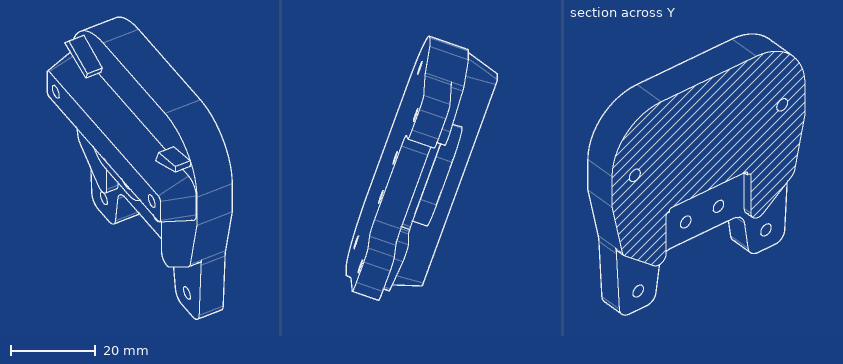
import cadquery as cq
import math


BASE_DEPTH = 6.6
PLATE_DEPTH = 9.7
RAISED_DEPTH = 13.8
TOTAL_DEPTH = 18.0

PLATE_WIDTH = 59.04
PLATE_HEIGHT = 59.8
HALF_WIDTH = PLATE_WIDTH / 2
TOP_RADIUS = 15.0
TAPER_START_Z = 35.9
WAIST_X = 26.2
WAIST_Z = 20.3
WAIST_BLEND_RADIUS = 12.0

FOOT_OUTER_X = 25.1
FOOT_INNER_X = 14.4
FOOT_RADIUS = 3.0
GAP_HALF_WIDTH = 12.55
GAP_TOP_Z = 13.4
GAP_RADIUS = 3.5

RECESS_HALF_WIDTH = 12.85
RECESS_TOP_Z = 27.35
RECESS_NOTCH = 1.0
RECESS_RADIUS = 0.5
FLAP_ANGLE = 38.0
FLAP_TIP_RADIUS = 2.4
FLAP_SHOULDER_RADIUS = 2.4

BAR_LENGTH = 53.2
BAR_HEIGHT = 8.0
BAR_Z = 41.95
BAR_CORNER_RADIUS = 1.0
BAR_FLARE = 2.55

BOSS_X = -1.0
BOSS_WIDTH = 25.0
BOSS_BOTTOM_Z = 28.2
BOSS_RADIUS = 7.0
SOCKET_SPACING = 9.0
SOCKET_Z = 33.2
SMALL_SOCKET_DIAMETER = 5.39
LARGE_SOCKET_DIAMETER = 6.5

LEFT_TAB = [(-25.6, 53.2), (-23.6, 55.3), (-14.9, 51.6), (-15.6, 49.7)]
RIGHT_TAB = [(18.6, 52.4), (26.4, 53.95), (26.4, 52.2), (17.1, 48.65)]

SCREW_DIAMETER = 3.2
BAR_SCREW = (22.5, BAR_Z)
RECESS_SCREW = (5.0, 19.0)
FOOT_SCREW = (19.5, 5.5)


def along(start, end, distance):
    """Point at a distance from start on the way to end."""
    share = distance / math.dist(start, end)
    return (start[0] + share * (end[0] - start[0]), start[1] + share * (end[1] - start[1]))


def rounded_corner(before, corner, after, radius):
    """Start, middle and end of the arc that rounds a corner."""
    to_before = math.atan2(before[1] - corner[1], before[0] - corner[0])
    to_after = math.atan2(after[1] - corner[1], after[0] - corner[0])
    half_angle = math.acos(math.cos(to_before - to_after)) / 2
    tangent_length = radius / math.tan(half_angle)
    start = along(corner, before, tangent_length)
    end = along(corner, after, tangent_length)
    chord_middle = ((start[0] + end[0]) / 2, (start[1] + end[1]) / 2)
    middle = along(corner, chord_middle, radius / math.sin(half_angle) - radius)
    return start, middle, end


def prism(corners, back, front):
    """Solid between two depths; corners are (x, z, radius), radius 0 being sharp."""
    points = [(x, z) for x, z, radius in corners]
    sketch = cq.Workplane("XZ", origin=(0, -back, 0))
    for index, (x, z, radius) in enumerate(corners):
        start = middle = end = (x, z)
        if radius > 0:
            following = points[(index + 1) % len(points)]
            start, middle, end = rounded_corner(points[index - 1], (x, z), following, radius)
        sketch = sketch.moveTo(*start) if index == 0 else sketch.lineTo(*start)
        if radius > 0:
            sketch = sketch.threePointArc(middle, end)
    return sketch.close().extrude(front - back)


def mirrored(half):
    """Full outline from its +X half."""
    return half + [(-x, z, radius) for x, z, radius in reversed(half)]


def upper_outline():
    """+X half of the outline above the waist, shared by both plate layers."""
    return [(HALF_WIDTH, PLATE_HEIGHT, TOP_RADIUS), (HALF_WIDTH, TAPER_START_Z, 0)]


def base_layer():
    half = upper_outline() + [
        (WAIST_X, WAIST_Z, WAIST_BLEND_RADIUS),
        (FOOT_OUTER_X, 0, FOOT_RADIUS),
        (FOOT_INNER_X, 0, FOOT_RADIUS),
        (GAP_HALF_WIDTH, GAP_TOP_Z, GAP_RADIUS),
    ]
    return prism(mirrored(half), 0, BASE_DEPTH)


def front_layer():
    flap_drop = (WAIST_X - RECESS_HALF_WIDTH) * math.tan(math.radians(FLAP_ANGLE))
    notch_x = RECESS_HALF_WIDTH - RECESS_NOTCH
    notch_z = RECESS_TOP_Z - RECESS_NOTCH
    half = upper_outline() + [
        (WAIST_X, WAIST_Z, FLAP_SHOULDER_RADIUS),
        (RECESS_HALF_WIDTH, WAIST_Z - flap_drop, FLAP_TIP_RADIUS),
        (RECESS_HALF_WIDTH, notch_z, RECESS_RADIUS),
        (notch_x, notch_z, 0),
        (notch_x, RECESS_TOP_Z, RECESS_RADIUS),
    ]
    return prism(mirrored(half), BASE_DEPTH, PLATE_DEPTH)


def mounting_bar():
    bar_depth = TOTAL_DEPTH - PLATE_DEPTH
    draft_angle = math.degrees(math.atan2(BAR_FLARE, bar_depth))
    foot_sketch = (
        cq.Sketch()
        .rect(BAR_LENGTH + 2 * BAR_FLARE, BAR_HEIGHT + 2 * BAR_FLARE)
        .vertices()
        .fillet(BAR_CORNER_RADIUS + BAR_FLARE)
    )
    plate_face = cq.Workplane("XZ", origin=(0, -PLATE_DEPTH, BAR_Z))
    return plate_face.placeSketch(foot_sketch).extrude(bar_depth, taper=draft_angle)


def sensor_boss():
    """U-shaped boss running up into the bar, with two sockets reaching the plate."""
    left = BOSS_X - BOSS_WIDTH / 2
    right = BOSS_X + BOSS_WIDTH / 2
    corners = [
        (left, BAR_Z, 0),
        (left, BOSS_BOTTOM_Z, BOSS_RADIUS),
        (right, BOSS_BOTTOM_Z, BOSS_RADIUS),
        (right, BAR_Z, 0),
    ]
    boss = prism(corners, PLATE_DEPTH, RAISED_DEPTH)
    for side, diameter in ((-1, SMALL_SOCKET_DIAMETER), (1, LARGE_SOCKET_DIAMETER)):
        socket_x = BOSS_X + side * SOCKET_SPACING / 2
        boss = boss.cut(cylinder(socket_x, SOCKET_Z, diameter, PLATE_DEPTH, RAISED_DEPTH))
    return boss


def wedge_tab(points):
    return prism([(x, z, 0) for x, z in points], PLATE_DEPTH, RAISED_DEPTH)


def cylinder(x, z, diameter, back, front):
    sketch = cq.Workplane("XZ", origin=(x, -back, z)).circle(diameter / 2)
    return sketch.extrude(front - back)


result = base_layer().union(front_layer()).union(sensor_boss()).union(mounting_bar())
for tab in (LEFT_TAB, RIGHT_TAB):
    result = result.union(wedge_tab(tab))
for hole_x, hole_z in (BAR_SCREW, RECESS_SCREW, FOOT_SCREW):
    for side in (-1, 1):
        result = result.cut(cylinder(side * hole_x, hole_z, SCREW_DIAMETER, 0, TOTAL_DEPTH))